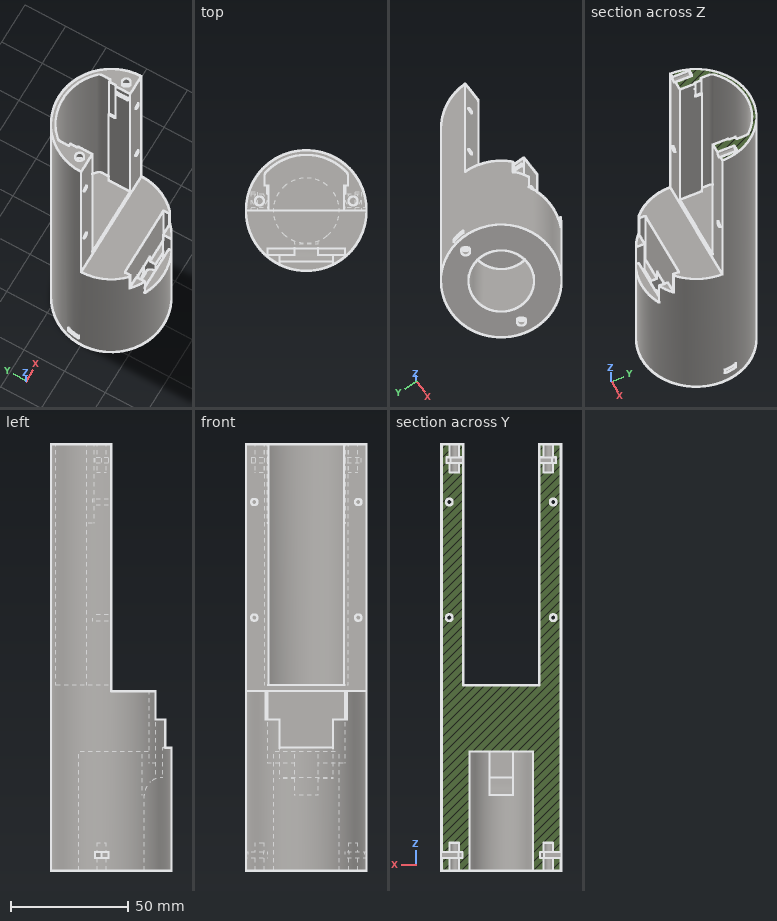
import cadquery as cq
import math

body_diameter = 51.65
body_radius = body_diameter / 2
body_height = 182.3
shoulder_height = 76.8

compartment_floor = 79.4
compartment_half_width = 16.2
pillar_depth = 10.6
compartment_back_half_width = 17.85
back_wall = 2.0
compartment_back_radius = body_radius - back_wall
compartment_corner_fillet = 2.5

relief_depth = 0.5
relief_front = 7.3
relief_bottom = 148.6

screw_x = 20.0
screw_y = 4.1
screw_diameter = 3.82
screw_depth = 12.0
nut_across_flats = 5.8
nut_across_corners = nut_across_flats / math.cos(math.pi / 6)
nut_thickness = 2.4
nut_cover = 5.6

pilot_diameter = 2.7
pilot_x = 22.2
pilot_heights = (108.2, 157.6)
pilot_depth = 8.0

window_upper_bottom = 64.7
window_lower_half_width = 11.4
window_lower_bottom = 52.7
plate_half_width = 16.6
plate_back = -16.2
plate_front = -19.0
plate_slot_bottom = 46.0
socket_front = -21.8

bore_diameter = 28.0
bore_top = 51.0
passage_half_width = 5.0
ramp_radius = 7.5
ramp_top = 40.0


def box(x_half, y_min, y_max, z_min, z_max):
    """Box centred on X = 0."""
    return (
        cq.Workplane("XY", origin=(0, (y_min + y_max) / 2, z_min))
        .rect(2 * x_half, y_max - y_min)
        .extrude(z_max - z_min)
    )


def both_sides(shape):
    """The shape together with its mirror image across the YZ plane."""
    return shape.union(shape.mirror("YZ"))


def make_body():
    cylinder = cq.Workplane("XY").circle(body_radius).extrude(body_height)
    front_half = box(body_radius, -body_radius, 0, shoulder_height, body_height)
    return cylinder.cut(front_half)


def make_compartment():
    depth = body_height - compartment_floor
    floor_plane = cq.Workplane("XY", origin=(0, 0, compartment_floor))
    back = (
        floor_plane.circle(compartment_back_radius)
        .extrude(depth)
        .intersect(
            box(compartment_back_half_width, pillar_depth, body_radius, compartment_floor, body_height)
        )
        .edges("|Z")
        .edges(">Y")
        .fillet(compartment_corner_fillet)
    )
    front = box(compartment_half_width, 0, pillar_depth, compartment_floor, body_height)
    return back.union(front)


def make_pillar_reliefs():
    half_width = compartment_half_width + relief_depth
    return box(half_width, relief_front, pillar_depth, relief_bottom, body_height)


def make_captive_screw(end_z, inward, opening_x):
    """Screw hole from an end face, crossing a nut trap that opens at opening_x."""
    hole = (
        cq.Workplane("XY", origin=(screw_x, screw_y, end_z))
        .circle(screw_diameter / 2)
        .extrude(inward * screw_depth)
    )
    trap_plane = cq.Workplane("XY", origin=(screw_x, screw_y, end_z + inward * nut_cover))
    nut = trap_plane.polygon(6, nut_across_corners).extrude(inward * nut_thickness)
    slot_length = opening_x - screw_x
    slot = (
        trap_plane.center(slot_length / 2, 0)
        .rect(abs(slot_length), nut_across_flats)
        .extrude(inward * nut_thickness)
    )
    return both_sides(hole.union(nut).union(slot))


def make_pilot_holes():
    points = [(side * pilot_x, z) for side in (-1, 1) for z in pilot_heights]
    return (
        cq.Workplane("XZ")
        .pushPoints(points)
        .circle(pilot_diameter / 2)
        .extrude(-pilot_depth)
    )


def make_window():
    upper = box(body_radius, -body_radius, plate_front, window_upper_bottom, shoulder_height)
    lower = box(window_lower_half_width, -body_radius, plate_front, window_lower_bottom, shoulder_height)
    return upper.union(lower)


def make_ramp():
    """Quarter-round floor of the pocket, highest at the front."""
    return (
        cq.Workplane("YZ", origin=(-window_lower_half_width, 0, 0))
        .moveTo(socket_front, ramp_top)
        .radiusArc((socket_front + ramp_radius, ramp_top - ramp_radius), ramp_radius)
        .lineTo(socket_front, ramp_top - ramp_radius)
        .close()
        .extrude(2 * window_lower_half_width)
    )


def make_connector_pocket():
    pocket_bottom = ramp_top - ramp_radius
    plate_slot = box(plate_half_width, plate_front, plate_back, plate_slot_bottom, shoulder_height)
    socket = box(window_lower_half_width, socket_front, plate_front, pocket_bottom, window_lower_bottom)
    passage = box(passage_half_width, plate_front, 0, pocket_bottom, bore_top)
    return plate_slot.union(socket.union(passage).cut(make_ramp()))


def make_bore():
    return cq.Workplane("XY").circle(bore_diameter / 2).extrude(bore_top)


result = (
    make_body()
    .cut(make_compartment())
    .cut(make_pillar_reliefs())
    .cut(make_captive_screw(body_height, -1, compartment_half_width))
    .cut(make_captive_screw(0, 1, body_radius))
    .cut(make_pilot_holes())
    .cut(make_window())
    .cut(make_connector_pocket())
    .cut(make_bore())
)